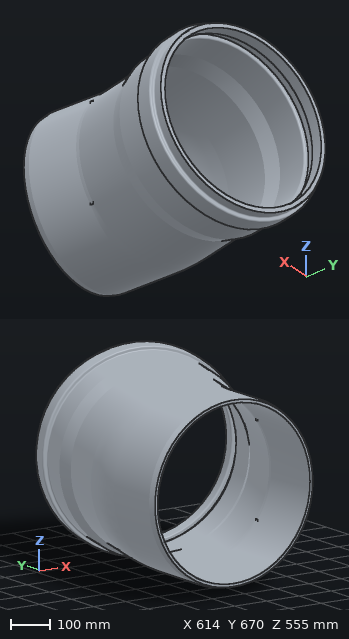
import cadquery as cq
import math

bend_angle = 15.0
half_angle = bend_angle / 2
bend_radius = 240.0
throat_offset = 198.5

pipe_radius = 250.0
bore_radius = 237.0
spigot_length = 180.0
spigot_taper_length = 20.0
spigot_tip_radius = 245.5

socket_bore_radius = 251.0
socket_wall = 13.5
socket_radius = socket_bore_radius + socket_wall
cone_start = 152.0
cone_end = 197.5
collar_start = 288.7
collar_end = 343.3
socket_end = 372.1

collar_radius = 277.5
collar_flange_wall = 12.0
groove_radius = collar_radius - socket_wall
collar_edge_fillet = 5.0
collar_root_fillet = 4.0
groove_start = collar_start + collar_flange_wall
groove_end = collar_end - collar_flange_wall
groove_mouth_fillet = 5.0

arc_rise = 1 - math.sqrt(0.5)

margin = 400.0
trim_length = 800.0
half_angle_tan = math.tan(math.radians(half_angle))
pivot = (bend_radius, spigot_length)


def turn(shape, angle):
    """Turn a shape clockwise about the bend pivot, seen from +Z."""
    return shape.rotate((*pivot, 0), (*pivot, 1), -angle)


def revolve_on_y(profile):
    """Revolve a closed (radius, axial) outline about the Y axis."""
    return profile.close().revolve(360, (0, 0, 0), (0, 1, 0))


def swept_bend(radius):
    """Bend swept about the pivot from the disc segment outside the throat."""
    height = math.sqrt(radius**2 - throat_offset**2)
    return (
        cq.Workplane("XZ", origin=(0, spigot_length, 0))
        .moveTo(throat_offset, -height)
        .threePointArc((-radius, 0), (throat_offset, height))
        .close()
        .revolve(bend_angle, (bend_radius, 1, 0), (bend_radius, -1, 0))
    )


def mitre_throat(radius):
    """Straight bar, halfway between both axes, closing the bend at the throat."""
    sine = math.sin(math.radians(half_angle))
    cosine = math.cos(math.radians(half_angle))
    thickness = 2 * (bend_radius - throat_offset) * sine
    axis_height = spigot_length + throat_offset * half_angle_tan
    plane = cq.Plane(
        origin=(0, axis_height, 0),
        xDir=(cosine, -sine, 0),
        normal=(sine, cosine, 0),
    )
    chord = throat_offset / cosine
    bar = cq.Workplane(plane).ellipse(radius / cosine, radius).extrude(thickness)
    keep = cq.Workplane(plane).center(chord + margin / 2, 0).rect(margin, 2 * margin).extrude(thickness)
    return bar.intersect(keep)


def section_trim(side):
    """Region of the spigot (side -1) or of the unturned socket (side +1).

    It ends flat at the bend start up to the throat and slopes along the mitre beyond it.
    """
    far_end = spigot_length + side * trim_length
    slope_end = spigot_length + side * (margin - throat_offset) * half_angle_tan
    outline = [
        (-margin, far_end),
        (margin, far_end),
        (margin, slope_end),
        (throat_offset, spigot_length),
        (-margin, spigot_length),
    ]
    return cq.Workplane("XY").polyline(outline).close().extrude(margin, both=True)


def spigot_outer():
    """Plain pipe end with a tapered tip."""
    return revolve_on_y(
        cq.Workplane("XY")
        .moveTo(0, 0)
        .lineTo(spigot_tip_radius, 0)
        .lineTo(pipe_radius, spigot_taper_length)
        .lineTo(pipe_radius, spigot_length)
        .lineTo(0, spigot_length)
    )


def spigot_bore():
    """Straight bore of the spigot."""
    return cq.Workplane("XZ").circle(bore_radius).extrude(-spigot_length)


def socket_outer():
    """Outside of the unturned socket: pipe, widening cone, socket and rounded sealing collar."""
    y = spigot_length
    edge = collar_radius - collar_edge_fillet
    root = socket_radius + collar_root_fillet
    edge_mid = collar_radius - collar_edge_fillet * arc_rise
    edge_rise = collar_edge_fillet * arc_rise
    root_mid = socket_radius + collar_root_fillet * arc_rise
    root_rise = collar_root_fillet * arc_rise
    lower_root = y + collar_start - collar_root_fillet
    lower_edge = y + collar_start + collar_edge_fillet
    upper_edge = y + collar_end - collar_edge_fillet
    upper_root = y + collar_end + collar_root_fillet
    return revolve_on_y(
        cq.Workplane("XY")
        .moveTo(0, y)
        .lineTo(pipe_radius, y)
        .lineTo(pipe_radius, y + cone_start)
        .lineTo(socket_radius, y + cone_end)
        .lineTo(socket_radius, lower_root)
        .threePointArc((root_mid, y + collar_start - root_rise), (root, y + collar_start))
        .lineTo(edge, y + collar_start)
        .threePointArc((edge_mid, y + collar_start + edge_rise), (collar_radius, lower_edge))
        .lineTo(collar_radius, upper_edge)
        .threePointArc((edge_mid, y + collar_end - edge_rise), (edge, y + collar_end))
        .lineTo(root, y + collar_end)
        .threePointArc((root_mid, y + collar_end + root_rise), (socket_radius, upper_root))
        .lineTo(socket_radius, y + socket_end)
        .lineTo(0, y + socket_end)
    )


def socket_bore():
    """Inside of the unturned socket, with the ring groove under the collar."""
    y = spigot_length
    mouth = socket_bore_radius + groove_mouth_fillet
    mouth_rise = groove_mouth_fillet * arc_rise
    mouth_mid = socket_bore_radius + mouth_rise
    lower_mouth = y + groove_start - groove_mouth_fillet
    upper_mouth = y + groove_end + groove_mouth_fillet
    return revolve_on_y(
        cq.Workplane("XY")
        .moveTo(0, y)
        .lineTo(bore_radius, y)
        .lineTo(bore_radius, y + cone_start)
        .lineTo(socket_bore_radius, y + cone_end)
        .lineTo(socket_bore_radius, lower_mouth)
        .threePointArc((mouth_mid, y + groove_start - mouth_rise), (mouth, y + groove_start))
        .lineTo(groove_radius, y + groove_start)
        .lineTo(groove_radius, y + groove_end)
        .lineTo(mouth, y + groove_end)
        .threePointArc((mouth_mid, y + groove_end + mouth_rise), (socket_bore_radius, upper_mouth))
        .lineTo(socket_bore_radius, y + socket_end)
        .lineTo(0, y + socket_end)
    )


def assemble(spigot, radius, socket):
    """Join spigot, bend and turned socket into one continuous body."""
    return (
        spigot.intersect(section_trim(-1))
        .union(swept_bend(radius))
        .union(mitre_throat(radius))
        .union(turn(socket.intersect(section_trim(1)), bend_angle))
    )


outer = assemble(spigot_outer(), pipe_radius, socket_outer())
bore = assemble(spigot_bore(), bore_radius, socket_bore())
result = outer.cut(bore)